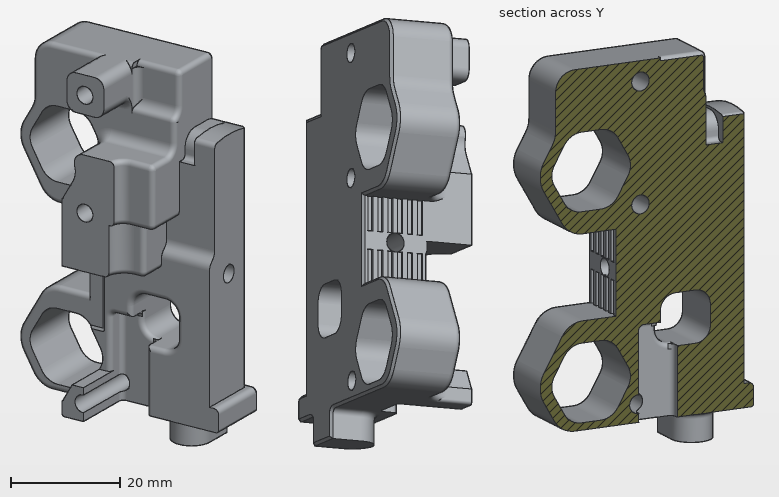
import cadquery as cq
import math


FRAME_DEPTH = 12.75
PLATE_DEPTH = 13.0
UPPER_PLATE_DEPTH = 11.3
CORNER_RECESS_DEPTH = 11.1
STEM_DEPTH = 22.0
UPPER_STEP_DEPTH = 19.95
LOWER_STEP_DEPTH = 18.65

EDGE_RADIUS = 1.0
BACK_CHAMFER = 0.5
OVERLAP = 1.0
FINE = 0.01
REACH = 0.1

HEX_FLATS = 15.0
HEX_CORNER_RADIUS = 4.0
WALL_TILT = math.radians(30)
HEX_X = 10.55
LOWER_HEX_Z = 9.0
HEX_SPACING = 40.0
UPPER_HEX_Z = LOWER_HEX_Z + HEX_SPACING
RING_APOTHEM = 9.87
RING_LEG = 11.8
RING_CORNER_RADIUS = 5.0
RING_TIP_RADIUS = 5.5

FRAME_LEFT = 3.16
FRAME_TOP = 68.6
FRAME_CORNER_RADIUS = 4.0
FRAME_WAIST_RADIUS = 5.0
BLOCK_RIGHT = 34.28
STEM_LEFT = 15.63
PLATE_RIGHT = 42.05
PLATE_TOP = 56.5
PLATE_CROWN_RADIUS = 22.0
PLATE_CORNER_CHAMFER = 1.5
PLATE_STEP_TOP = 35.0
PLATE_STEP_RADIUS = 2.0
FOOT_RIGHT = 44.07
FOOT_HEIGHT = 4.7
FOOT_TOP_RADIUS = 1.1
FOOT_BOTTOM_RADIUS = 0.6

BOSS_LEFT = 16.75
BOSS_RIGHT = 24.85
BOSS_BOTTOM = 60.75
BOSS_CORNER_RADIUS = 2.0
BOSS_ROOT_RADIUS = 1.5
BOSS_FLARE_RADIUS = 1.4

RECESS_STEP_Z = 58.9
RECESS_ROOT_RADIUS = 2.0

STEM_TOP = 52.75
STEM_BOTTOM = 29.7
STEM_SHOULDER_LEFT = 18.36
STEM_SHOULDER_RADIUS = 2.0
STEM_ROOT_RADIUS = 2.0
UPPER_STEP_LEFT = 27.1
STEP_Z = 40.0
LOWER_STEP_LEFT = 25.95
LOWER_STEP_RIGHT = 31.5
LEG_ROOT_RADIUS = 4.0

FOOT_STEM_RIGHT = 20.36
FOOT_STEM_TOP = 6.7

HOLE_DIAMETER = 3.5
FRONT_HOLES = ((20.7, 64.6), (20.7, 41.3), (20.28, 3.5))
SIDE_HOLE_DEPTH = 6.64
SIDE_HOLE_Z = 28.95

WINDOW_LEFT = 24.85
WINDOW_RIGHT = 35.05
WINDOW_BOTTOM = 13.6
WINDOW_TOP = 23.6
WINDOW_CORNER_RADIUS = 3.0
POCKET_RIGHT = 28.3
POCKET_TOP = 18.4
POCKET_DEPTH = 3.75
PATCH_RIGHT = 18.5
PATCH_BOTTOM = 14.9
PATCH_TOP = 27.3
PATCH_BORDER = 0.55

PIN_X = 33.62
PIN_RADIUS = 3.98
PIN_CENTRE_DEPTH = 6.25
PIN_LENGTH = 5.55
PIN_ROOT_RADIUS = 1.1
RELIEF_RIGHT = 37.6
RELIEF_TOP = 56.0
RELIEF_BOTTOM = 50.9
RELIEF_ROUND_RADIUS = 3.15
RELIEF_ROOT_RADIUS = 0.9

SLOT_COUNT = 6
SLOT_PITCH = 2.0
SLOT_WIDTH = 1.0
SLOT_FIRST_DEPTH = 1.1
SLOT_CUT = 0.5
SLOT_GAP_BOTTOM = 27.3
SLOT_GAP_TOP = 30.75


def front_plane(depth=0.0):
    """Plane parallel to the front; extruding from it goes toward -Y."""
    return cq.Workplane("XZ").workplane(offset=depth)


def box(x_range, depth_range, z_range):
    (x0, x1), (d0, d1), (z0, z1) = x_range, depth_range, z_range
    return cq.Workplane("XY").box(x1 - x0, d1 - d0, z1 - z0, centered=False).translate((x0, -d1, z0))


def region(x_range, depth_range, z_range):
    """Selector for edges whose centres lie inside the given ranges."""
    (x0, x1), (d0, d1), (z0, z1) = x_range, depth_range, z_range
    return cq.selectors.BoxSelector((x0, -d1, z0), (x1, -d0, z1))


def upright_edge(solid, x, z, radius):
    """Round the front-to-back edge passing through (x, z)."""
    near = region((x - FINE, x + FINE), (0, STEM_DEPTH), (z - FINE, z + FINE))
    return solid.edges("|Y").edges(near).fillet(radius)


def wall_x(rise):
    """X of a sloped ring wall at the given height above or below the hexagon centre."""
    return HEX_X - (RING_APOTHEM - abs(rise) * math.sin(WALL_TILT)) / math.cos(WALL_TILT)


def round_front_rim(solid, x_limit):
    face_depths = (FRAME_DEPTH - FINE, FRAME_DEPTH + FINE)
    rim = region((-OVERLAP, x_limit), face_depths, (-OVERLAP, FRAME_TOP + OVERLAP))
    return solid.edges(rim).fillet(EDGE_RADIUS)


def upper_frame():
    waist_rise = (RING_APOTHEM - (HEX_X - FRAME_LEFT) * math.cos(WALL_TILT)) / math.sin(WALL_TILT)
    waist_z = UPPER_HEX_Z + waist_rise
    bottom_z = UPPER_HEX_Z - RING_LEG
    tip = (wall_x(0), UPPER_HEX_Z)
    elbow = (wall_x(RING_LEG), bottom_z)
    outline = [(BOSS_RIGHT, bottom_z), elbow, tip, (FRAME_LEFT, waist_z),
               (FRAME_LEFT, FRAME_TOP), (BOSS_RIGHT, FRAME_TOP)]
    frame = front_plane().polyline(outline).close().extrude(FRAME_DEPTH)
    frame = upright_edge(frame, *elbow, RING_CORNER_RADIUS)
    frame = upright_edge(frame, *tip, RING_TIP_RADIUS)
    frame = upright_edge(frame, FRAME_LEFT, waist_z, FRAME_WAIST_RADIUS)
    frame = upright_edge(frame, FRAME_LEFT, FRAME_TOP, FRAME_CORNER_RADIUS)
    return round_front_rim(frame, BOSS_RIGHT - OVERLAP)


def lower_ring():
    right = STEM_LEFT + OVERLAP
    top_z = LOWER_HEX_Z + RING_LEG
    tip = (wall_x(0), LOWER_HEX_Z)
    top_elbow = (wall_x(RING_LEG), top_z)
    bottom_elbow = (wall_x(LOWER_HEX_Z), 0)
    ring = front_plane().polyline([(right, 0), bottom_elbow, tip, top_elbow, (right, top_z)]).close()
    ring = ring.extrude(FRAME_DEPTH)
    ring = upright_edge(ring, *bottom_elbow, RING_CORNER_RADIUS)
    ring = upright_edge(ring, *tip, RING_TIP_RADIUS)
    ring = upright_edge(ring, *top_elbow, RING_CORNER_RADIUS)
    return round_front_rim(ring, right - REACH)


def s_bend(sketch, start, drop, root_radius, lip_radius, angle):
    """Extend a side profile down and forward by drop: concave root, straight slope, convex lip."""
    depth0, z0 = start
    sin_a, cos_a = math.sin(angle), math.cos(angle)
    half_sin, half_cos = math.sin(angle / 2), math.cos(angle / 2)
    root_mid = (-(depth0 + root_radius * (1 - half_cos)), z0 - root_radius * half_sin)
    root_end_depth = depth0 + root_radius * (1 - cos_a)
    root_end = (-root_end_depth, z0 - root_radius * sin_a)
    lip_end_depth = depth0 + drop
    lip_start_depth = lip_end_depth - lip_radius * (1 - cos_a)
    lip_start_z = root_end[1] - (lip_start_depth - root_end_depth) / math.tan(angle)
    lip_start = (-lip_start_depth, lip_start_z)
    lip_end_z = lip_start_z - lip_radius * sin_a
    lip_mid = (-(lip_end_depth - lip_radius * (1 - half_cos)), lip_end_z + lip_radius * half_sin)
    sketch = sketch.threePointArc(root_mid, root_end)
    if lip_start_depth - root_end_depth > FINE:
        sketch = sketch.lineTo(*lip_start)
    return sketch.threePointArc(lip_mid, (-lip_end_depth, lip_end_z))


def rounding(corner, toward_start, toward_end, radius):
    """Middle and end point of a quarter round at a corner between two unit directions."""
    offset = radius * (1 - math.sqrt(0.5))
    middle = tuple(c + offset * (a + b) for c, a, b in zip(corner, toward_start, toward_end))
    end = tuple(c + radius * b for c, b in zip(corner, toward_end))
    return middle, end


def right_block():
    """Block right of the boss: its side profile carries the corner recess and the upper step."""
    step_drop = FRAME_DEPTH - CORNER_RECESS_DEPTH
    bend = math.acos(1 - step_drop / (RECESS_ROOT_RADIUS + EDGE_RADIUS))
    bend_top = RECESS_STEP_Z + (RECESS_ROOT_RADIUS + EDGE_RADIUS) * math.sin(bend)
    back, front, up, down = (1, 0), (-1, 0), (0, 1), (0, -1)
    profile = cq.Workplane("YZ").workplane(offset=BOSS_RIGHT)
    profile = profile.moveTo(0, STEP_Z).lineTo(0, FRAME_TOP)
    profile = profile.lineTo(-(CORNER_RECESS_DEPTH - EDGE_RADIUS), FRAME_TOP)
    profile = profile.threePointArc(*rounding((-CORNER_RECESS_DEPTH, FRAME_TOP), back, down, EDGE_RADIUS))
    profile = profile.lineTo(-CORNER_RECESS_DEPTH, bend_top)
    profile = s_bend(profile, (CORNER_RECESS_DEPTH, bend_top), step_drop,
                     RECESS_ROOT_RADIUS, EDGE_RADIUS, bend)
    profile = profile.lineTo(-FRAME_DEPTH, STEM_TOP + STEM_ROOT_RADIUS)
    profile = profile.threePointArc(*rounding((-FRAME_DEPTH, STEM_TOP), up, front, STEM_ROOT_RADIUS))
    profile = profile.lineTo(-(UPPER_STEP_DEPTH - EDGE_RADIUS), STEM_TOP)
    profile = profile.threePointArc(*rounding((-UPPER_STEP_DEPTH, STEM_TOP), back, down, EDGE_RADIUS))
    profile = profile.lineTo(-UPPER_STEP_DEPTH, STEP_Z + EDGE_RADIUS)
    profile = profile.threePointArc(*rounding((-UPPER_STEP_DEPTH, STEP_Z), up, back, EDGE_RADIUS))
    return profile.close().extrude(BLOCK_RIGHT - BOSS_RIGHT)


def round_block_side(block):
    """Round the front part of the right-hand rim of the block."""
    side = (BLOCK_RIGHT - FINE, BLOCK_RIGHT + FINE)
    rim = region(side, (CORNER_RECESS_DEPTH - EDGE_RADIUS, STEM_DEPTH), (STEP_Z + REACH, FRAME_TOP - REACH))
    return block.edges(rim).fillet(EDGE_RADIUS - FINE)


def stem_with_step(left, step_left, step_depth, z_range):
    """Open outline of the stem up to the step on its right, joined by a concave sweep, and its height."""
    radius = STEM_DEPTH - step_depth
    z0, z1 = z_range
    centre = (step_left + radius, -STEM_DEPTH)
    middle = (centre[0] - radius * math.sqrt(0.5), centre[1] + radius * math.sqrt(0.5))
    profile = cq.Workplane("XY").workplane(offset=z0).moveTo(left, -BACK_CHAMFER)
    profile = profile.lineTo(left, -STEM_DEPTH).lineTo(step_left, -STEM_DEPTH)
    profile = profile.threePointArc(middle, (step_left + radius, -step_depth))
    return profile, z1 - z0


def upper_stem():
    profile, height = stem_with_step(STEM_SHOULDER_LEFT, UPPER_STEP_LEFT, UPPER_STEP_DEPTH,
                                     (STEP_Z, STEM_TOP))
    stem = profile.lineTo(UPPER_STEP_LEFT + STEM_DEPTH - UPPER_STEP_DEPTH, -BACK_CHAMFER).close()
    stem = stem.extrude(height)
    stem = stem.edges("%CIRCLE").fillet(EDGE_RADIUS)
    return upright_edge(stem, STEM_SHOULDER_LEFT, STEM_TOP, STEM_SHOULDER_RADIUS)


def lower_stem():
    profile, height = stem_with_step(STEM_LEFT, LOWER_STEP_LEFT, LOWER_STEP_DEPTH, (STEM_BOTTOM, STEP_Z))
    stem = profile.lineTo(LOWER_STEP_RIGHT, -LOWER_STEP_DEPTH)
    stem = stem.lineTo(LOWER_STEP_RIGHT, -BACK_CHAMFER).close().extrude(height)
    corner = region((LOWER_STEP_RIGHT - REACH, LOWER_STEP_RIGHT + REACH), (PLATE_DEPTH, STEM_DEPTH),
                    (STEM_BOTTOM, STEP_Z))
    stem = stem.edges("|Z").edges(corner).fillet(EDGE_RADIUS)
    bottom_rim = region((LOWER_STEP_LEFT + REACH, LOWER_STEP_RIGHT + REACH), (OVERLAP, STEM_DEPTH - REACH),
                        (STEM_BOTTOM - REACH, STEM_BOTTOM + REACH))
    stem = stem.edges(bottom_rim).fillet(EDGE_RADIUS)
    left_part = box((STEM_LEFT, STEM_SHOULDER_LEFT + OVERLAP), (BACK_CHAMFER, STEM_DEPTH),
                    (STEP_Z, UPPER_HEX_Z))
    return stem.union(left_part)


def stem_root():
    """Concave filler between the frame face and the top and shoulder of the stem."""
    right = BOSS_RIGHT
    filler = front_plane(FRAME_DEPTH).moveTo(STEM_SHOULDER_LEFT, UPPER_HEX_Z)
    filler = filler.lineTo(right, UPPER_HEX_Z).lineTo(right, STEM_TOP).lineTo(STEM_SHOULDER_LEFT, STEM_TOP)
    filler = filler.close().extrude(STEM_ROOT_RADIUS + OVERLAP)
    slab_top = STEM_TOP + STEM_ROOT_RADIUS + OVERLAP
    slab = box((HEX_X, right), (FRAME_DEPTH - OVERLAP, FRAME_DEPTH), (UPPER_HEX_Z, slab_top))
    filler = upright_edge(filler, STEM_SHOULDER_LEFT, STEM_TOP, STEM_SHOULDER_RADIUS).union(slab)
    root = region((STEM_SHOULDER_LEFT - OVERLAP, right - REACH), (FRAME_DEPTH - FINE, FRAME_DEPTH + FINE),
                  (UPPER_HEX_Z + REACH, STEM_TOP + REACH))
    return filler.edges(root).fillet(STEM_ROOT_RADIUS)


def leg_root(z_range):
    """Concave sweep from a horizontal ring leg up to the left side of a stem."""
    z0, z1 = z_range
    radius = LEG_ROOT_RADIUS
    corner = (STEM_LEFT, -FRAME_DEPTH)
    left, front = (-1, 0), (0, -1)
    sweep = cq.Workplane("XY").workplane(offset=z0).moveTo(STEM_LEFT + OVERLAP, -FRAME_DEPTH + OVERLAP)
    sweep = sweep.lineTo(STEM_LEFT - radius, -FRAME_DEPTH + OVERLAP).lineTo(STEM_LEFT - radius, -FRAME_DEPTH)
    sweep = sweep.threePointArc(*rounding(corner, left, front, radius))
    sweep = sweep.lineTo(STEM_LEFT + OVERLAP, -FRAME_DEPTH - radius).close().extrude(z1 - z0)
    return sweep.edges("%CIRCLE and <Z").fillet(EDGE_RADIUS - FINE)


def crown_z(depth):
    """Height of the gently crowned plate top at a given depth."""
    offset = depth - PIN_CENTRE_DEPTH
    return PLATE_TOP - PLATE_CROWN_RADIUS + math.sqrt(PLATE_CROWN_RADIUS ** 2 - offset ** 2)


def plate():
    bend = math.pi / 4
    rim_depth = UPPER_PLATE_DEPTH - EDGE_RADIUS
    rim_z = crown_z(rim_depth)
    profile = cq.Workplane("YZ").workplane(offset=STEM_LEFT).lineTo(0, crown_z(0))
    profile = profile.threePointArc((-PIN_CENTRE_DEPTH, PLATE_TOP), (-rim_depth, rim_z))
    profile = profile.threePointArc(*rounding((-UPPER_PLATE_DEPTH, rim_z), (1, 0), (0, -1), EDGE_RADIUS))
    profile = profile.lineTo(-UPPER_PLATE_DEPTH, PLATE_STEP_TOP)
    profile = s_bend(profile, (UPPER_PLATE_DEPTH, PLATE_STEP_TOP), PLATE_DEPTH - UPPER_PLATE_DEPTH,
                     PLATE_STEP_RADIUS, PLATE_STEP_RADIUS, bend)
    body = profile.lineTo(-PLATE_DEPTH, 0).close().extrude(PLATE_RIGHT - STEM_LEFT)
    body = body.edges("|Z and >X and >Y").chamfer(PLATE_CORNER_CHAMFER)
    foot = box((PIN_X, FOOT_RIGHT), (0, PLATE_DEPTH), (0, FOOT_HEIGHT))
    foot = foot.edges("|Y and >X and >Z").fillet(FOOT_TOP_RADIUS)
    foot = foot.edges("|Y and >X and <Z").fillet(FOOT_BOTTOM_RADIUS)
    return body.union(foot)


def pin():
    left = PIN_X - PIN_RADIUS
    right = PIN_X + PIN_RADIUS
    tip = (PIN_X, -PIN_CENTRE_DEPTH - PIN_RADIUS)
    body = cq.Workplane("XY").moveTo(left, 0).lineTo(left, -PIN_CENTRE_DEPTH)
    body = body.threePointArc(tip, (right, -PIN_CENTRE_DEPTH))
    return body.lineTo(right, 0).close().extrude(-PIN_LENGTH)


def boss_root():
    """Concave blend from the frame face to the left side and underside of the boss."""
    top = FRAME_TOP - BOSS_CORNER_RADIUS
    margin = BOSS_ROOT_RADIUS + OVERLAP
    core = box((BOSS_LEFT, BOSS_RIGHT), (FRAME_DEPTH - OVERLAP, FRAME_DEPTH + margin), (BOSS_BOTTOM, top))
    core = upright_edge(core, BOSS_LEFT, BOSS_BOTTOM, BOSS_CORNER_RADIUS)
    core = upright_edge(core, BOSS_RIGHT, BOSS_BOTTOM, BOSS_CORNER_RADIUS)
    slab = box((BOSS_LEFT - margin, BOSS_RIGHT), (FRAME_DEPTH - OVERLAP, FRAME_DEPTH),
               (BOSS_BOTTOM - margin, top))
    root = region((BOSS_LEFT - REACH, BOSS_RIGHT - FINE), (FRAME_DEPTH - FINE, FRAME_DEPTH + FINE),
                  (BOSS_BOTTOM - REACH, top - REACH))
    return core.union(slab).edges(root).fillet(BOSS_ROOT_RADIUS)


def boss_flare():
    """Concave blend from the corner recess to the right side of the boss."""
    height = FRAME_TOP - EDGE_RADIUS - RECESS_STEP_Z
    inner_y = -CORNER_RECESS_DEPTH + OVERLAP
    right, front = (1, 0), (0, -1)
    corner = (BOSS_RIGHT, -CORNER_RECESS_DEPTH)
    foot_x = BOSS_RIGHT + BOSS_FLARE_RADIUS
    flare = cq.Workplane("XY").workplane(offset=RECESS_STEP_Z).moveTo(BOSS_RIGHT - OVERLAP, inner_y)
    flare = flare.lineTo(foot_x, inner_y).lineTo(foot_x, corner[1])
    flare = flare.threePointArc(*rounding(corner, right, front, BOSS_FLARE_RADIUS))
    return flare.lineTo(BOSS_RIGHT - OVERLAP, corner[1] - BOSS_FLARE_RADIUS).close().extrude(height)


def boss():
    body = box((BOSS_LEFT, BOSS_RIGHT), (PIN_CENTRE_DEPTH, STEM_DEPTH), (BOSS_BOTTOM, FRAME_TOP))
    body = body.edges("|Y").fillet(BOSS_CORNER_RADIUS)
    return body.union(boss_root(), clean=False).union(boss_flare(), clean=False)


def foot_stem():
    body = box((STEM_LEFT, FOOT_STEM_RIGHT), (PIN_CENTRE_DEPTH, STEM_DEPTH), (0, FOOT_STEM_TOP))
    return body.edges("|Y and <X and <Z").fillet(FOOT_BOTTOM_RADIUS)


def hexagon(z):
    opening = front_plane(-OVERLAP).center(HEX_X, z).polygon(6, HEX_FLATS / math.cos(WALL_TILT))
    opening = opening.extrude(STEM_DEPTH + 2 * OVERLAP)
    return opening.edges("|Y").fillet(HEX_CORNER_RADIUS)


def window():
    width = WINDOW_RIGHT - WINDOW_LEFT
    height = WINDOW_TOP - WINDOW_BOTTOM
    centre = ((WINDOW_LEFT + WINDOW_RIGHT) / 2, (WINDOW_BOTTOM + WINDOW_TOP) / 2)
    opening = front_plane(-OVERLAP).center(*centre).rect(width, height).extrude(PLATE_DEPTH + 2 * OVERLAP)
    return opening.edges("|Y").fillet(WINDOW_CORNER_RADIUS)


def window_flare(depth):
    """Ring that rounds the rim of the window where it meets a face at the given depth."""
    margin = 2 * EDGE_RADIUS
    x_range = (WINDOW_LEFT - margin, WINDOW_RIGHT + margin)
    z_range = (WINDOW_BOTTOM - margin, WINDOW_TOP + margin)
    slab = box(x_range, (depth - margin, depth), z_range)
    rounded = slab.cut(window())
    inner = margin / 4
    rim = region((x_range[0] + inner, x_range[1] - inner), (depth - FINE, depth + FINE),
                 (z_range[0] + inner, z_range[1] - inner))
    return slab.cut(rounded.edges(rim).fillet(EDGE_RADIUS))


def pocket():
    """Pocket left of the window, open at the bottom, with a rounded floor edge."""
    body = box((FOOT_STEM_RIGHT, POCKET_RIGHT), (PLATE_DEPTH - POCKET_DEPTH, PLATE_DEPTH + OVERLAP),
               (-OVERLAP, POCKET_TOP))
    body = body.edges("|Y and >Z and <X").fillet(EDGE_RADIUS)
    floor_rim = region((0, PLATE_RIGHT), (0, PLATE_DEPTH), (0, FRAME_TOP))
    return body.faces(">Y").edges(floor_rim).fillet(EDGE_RADIUS - FINE)


def patch():
    """Corner of the plate lowered to the depth of the lower ring, with a sloping border."""
    left = STEM_LEFT - OVERLAP
    step = PLATE_DEPTH - FRAME_DEPTH
    slope = math.degrees(math.atan2(PATCH_BORDER, step))
    centre = ((left + PATCH_RIGHT) / 2, (PATCH_BOTTOM + PATCH_TOP) / 2)
    floor = front_plane(FRAME_DEPTH).center(*centre).rect(PATCH_RIGHT - left, PATCH_TOP - PATCH_BOTTOM)
    return floor.extrude(step, taper=-slope)


def pin_relief():
    """Notch beside the block with a rounded shelf, leaving the back of the plate standing."""
    shelf_depth = PIN_CENTRE_DEPTH + RELIEF_ROUND_RADIUS
    back, front, up, down = (1, 0), (-1, 0), (0, 1), (0, -1)
    profile = cq.Workplane("YZ").workplane(offset=BLOCK_RIGHT - OVERLAP).moveTo(0, RELIEF_TOP)
    profile = profile.lineTo(-PIN_CENTRE_DEPTH, RELIEF_TOP)
    profile = profile.threePointArc(*rounding((-shelf_depth, RELIEF_TOP), back, down, RELIEF_ROUND_RADIUS))
    profile = profile.lineTo(-shelf_depth, RELIEF_BOTTOM + RELIEF_ROOT_RADIUS)
    profile = profile.threePointArc(*rounding((-shelf_depth, RELIEF_BOTTOM), up, front, RELIEF_ROOT_RADIUS))
    profile = profile.lineTo(-PLATE_DEPTH, RELIEF_BOTTOM).lineTo(-PLATE_DEPTH, FRAME_TOP)
    return profile.lineTo(0, FRAME_TOP).close().extrude(RELIEF_RIGHT - BLOCK_RIGHT + OVERLAP)


def slots():
    cutter = cq.Workplane("XY")
    x_range = (STEM_LEFT - OVERLAP, STEM_LEFT + SLOT_CUT)
    leg_bottom = UPPER_HEX_Z - RING_LEG
    leg_top = LOWER_HEX_Z + RING_LEG
    for index in range(SLOT_COUNT):
        start = SLOT_FIRST_DEPTH + index * SLOT_PITCH
        for z_range in ((leg_top, SLOT_GAP_BOTTOM), (SLOT_GAP_TOP, leg_bottom)):
            cutter = cutter.union(box(x_range, (start, start + SLOT_WIDTH), z_range))
    return cutter


def round_holes():
    side = cq.Workplane("YZ").center(-SIDE_HOLE_DEPTH, SIDE_HOLE_Z).circle(HOLE_DIAMETER / 2)
    holes = side.extrude(PLATE_RIGHT + OVERLAP)
    for position in FRONT_HOLES:
        hole = front_plane(-OVERLAP).center(*position).circle(HOLE_DIAMETER / 2)
        holes = holes.union(hole.extrude(STEM_DEPTH + 2 * OVERLAP))
    return holes


def plate_with_openings():
    face = (PLATE_DEPTH - FINE, PLATE_DEPTH + FINE)
    body = plate().cut(pin_relief()).cut(pocket())
    mouth = region((FOOT_STEM_RIGHT - REACH, POCKET_RIGHT + REACH), face, (REACH, POCKET_TOP + REACH))
    body = body.edges(mouth).fillet(EDGE_RADIUS - FINE)
    floor_depth = PLATE_DEPTH - POCKET_DEPTH
    floor_zone = box((FOOT_STEM_RIGHT, POCKET_RIGHT), (0, PLATE_DEPTH), (0, POCKET_TOP))
    floor_flare = window_flare(floor_depth).intersect(floor_zone)
    return body.cut(window()).cut(window_flare(PLATE_DEPTH)).cut(floor_flare)


def base():
    """Frame, ring, plate and pin, with the pin root rounded and the back rim chamfered."""
    body = upper_frame().union(lower_ring()).union(round_block_side(right_block()))
    body = body.union(plate_with_openings()).union(pin())
    pin_rim = region((PIN_X - PIN_RADIUS - REACH, PIN_X + PIN_RADIUS + REACH),
                     (REACH, PIN_CENTRE_DEPTH + PIN_RADIUS + REACH), (-FINE, FINE))
    body = body.edges(pin_rim).fillet(PIN_ROOT_RADIUS)
    window_zone = region((WINDOW_LEFT - REACH, WINDOW_RIGHT + REACH), (-REACH, REACH),
                         (WINDOW_BOTTOM - REACH, WINDOW_TOP + REACH))
    outer_rim = cq.selectors.SubtractSelector(cq.selectors.StringSyntaxSelector("#Y"), window_zone)
    return body.faces(">Y").edges(outer_rim).chamfer(BACK_CHAMFER)


def leg_roots():
    upper = leg_root((UPPER_HEX_Z - RING_LEG, UPPER_HEX_Z - HEX_FLATS / 4))
    return upper.union(leg_root((0, FOOT_STEM_TOP)))


result = base()
for piece in (upper_stem(), lower_stem(), stem_root(), leg_roots(), boss(), foot_stem()):
    result = result.union(piece)
for opening in (hexagon(UPPER_HEX_Z), hexagon(LOWER_HEX_Z), patch(), slots(), round_holes()):
    result = result.cut(opening)